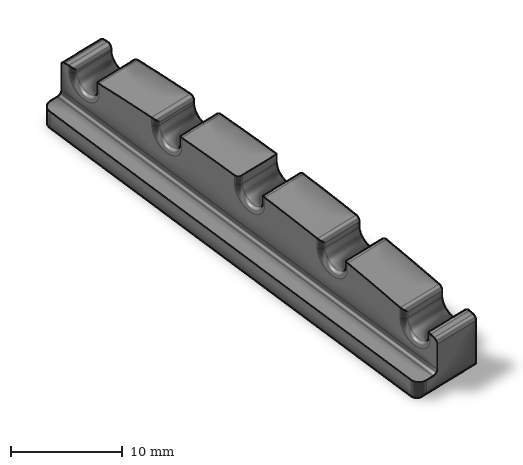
import cadquery as cq
import math

length = 50.0
depth = 7.0
foot_height = 2.0
wall_thickness = 4.7
crown_height = 7.766
crown_radius = 177.8

notch_count = 5
notch_pitch = 11.0
notch_radius = 1.5
notch_centre_depth = 1.0

edge_radius = 0.5
foot_corner_radius = 1.0
selection_margin = 0.1

half_length = length / 2
wall_front = depth - wall_thickness


def crown_z(x):
    """Height of the crown arc at x."""
    return crown_height - crown_radius + math.sqrt(crown_radius**2 - x**2)


def notch_axis_z(x):
    """Height of the axis of the round bottom of the notch at x."""
    return crown_z(x) - notch_centre_depth


def notch_positions():
    """X positions of the notches, spread evenly about the middle."""
    first = -notch_pitch * (notch_count - 1) / 2
    return [first + i * notch_pitch for i in range(notch_count)]


def make_wall():
    """Upright wall on the foot, with the crowned top."""
    end_height = crown_z(half_length)
    return (
        cq.Workplane("XZ", origin=(0, depth, 0))
        .moveTo(-half_length, foot_height)
        .lineTo(half_length, foot_height)
        .lineTo(half_length, end_height)
        .threePointArc((0, crown_height), (-half_length, end_height))
        .close()
        .extrude(wall_thickness)
    )


def make_foot():
    """Flat foot under the wall, with rounded front corners and bottom end edges."""
    foot = cq.Workplane("XY").box(length, depth, foot_height, centered=(True, False, False))
    end_rounding = foot.edges("|Y and <Z").fillet(edge_radius)
    return foot.edges("|Z and <Y").fillet(foot_corner_radius).intersect(end_rounding)


def make_notch(x):
    """Round-bottomed slot, open at the top, running through the wall along Y."""
    return (
        cq.Workplane("XZ", origin=(x, depth, notch_axis_z(x)))
        .moveTo(-notch_radius, crown_height)
        .lineTo(-notch_radius, 0)
        .threePointArc((0, -notch_radius), (notch_radius, 0))
        .lineTo(notch_radius, crown_height)
        .close()
        .extrude(wall_thickness)
    )


def box_around(x, y, z, half_x, half_y, half_z):
    """Selector for the edges that lie wholly inside a box centred on (x, y, z)."""
    return cq.selectors.BoxSelector(
        (x - half_x, y - half_y, z - half_z),
        (x + half_x, y + half_y, z + half_z),
        boundingbox=True,
    )


def edge_along_y(x, z):
    """Selector for the edge that runs along Y through (x, z)."""
    m = selection_margin
    return box_around(x, depth / 2, z, m, depth, m)


def round_inner_corner(body):
    """Fill the inner corner between the top of the foot and the wall with a fillet."""
    m = selection_margin
    corner = box_around(0, wall_front, foot_height, length, m, m)
    return body.edges(corner).fillet(edge_radius)


def round_rim(body, x):
    """Round the front rim of the notch at x."""
    m = selection_margin
    reach = notch_radius + m
    rim = box_around(x, wall_front, notch_axis_z(x), reach, m, reach)
    return body.edges(rim).fillet(edge_radius)


def round_along_y(body, x):
    """Round the edge along Y where the crown ends at x."""
    return body.edges(edge_along_y(x, crown_z(x))).fillet(edge_radius)


def rounded_crown_ends():
    """Positions of the crown's rounded edges; the left one of the middle notch stays sharp."""
    notch_walls = [x + side * notch_radius for x in notch_positions() for side in (-1, 1)]
    notch_walls.remove(-notch_radius)
    return [-half_length] + notch_walls + [half_length]


body = make_foot().union(make_wall())
for x in notch_positions():
    body = body.cut(make_notch(x))

body = round_inner_corner(body)

rounded_rims = body
for x in notch_positions():
    rounded_rims = round_rim(rounded_rims, x)

rounded_crown = body
for x in rounded_crown_ends():
    rounded_crown = round_along_y(rounded_crown, x)

result = rounded_rims.intersect(rounded_crown)